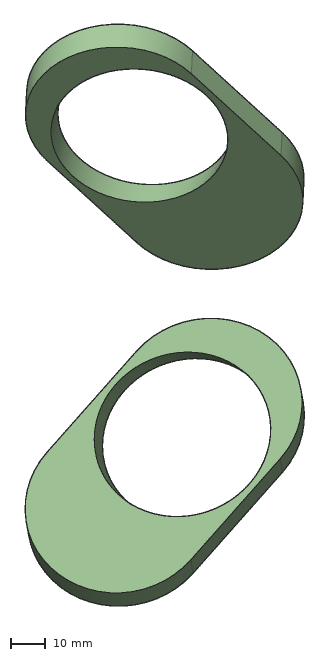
import cadquery as cq
import math

thickness = 10.0
end_radius = 27.0
center_distance = 40.0
hole_diameter = 50.0
hole_offset = 10.2
plate_turn = 40
long_axis_drop = 50
hole_tilt = 15

turn = math.radians(plate_turn)
across = cq.Vector(math.cos(turn), math.sin(turn), 0)
front_normal = cq.Vector(math.sin(turn), -math.cos(turn), 0)
drop = math.radians(long_axis_drop)
downhill = across * math.cos(drop) - cq.Vector(0, 0, math.sin(drop))

plate_plane = cq.Plane(origin=(0, 0, 0), xDir=across, normal=front_normal)
plate = (
    cq.Workplane(plate_plane)
    .slot2D(center_distance + 2 * end_radius, 2 * end_radius, -long_axis_drop)
    .extrude(thickness / 2, both=True)
)

tilt = math.radians(hole_tilt)
hole_axis = downhill * math.sin(tilt) - front_normal * math.cos(tilt)
hole_center = downhill * (hole_offset - center_distance / 2)
cutter_half_length = hole_diameter / 2 + thickness
cutter = cq.Solid.makeCylinder(
    hole_diameter / 2,
    2 * cutter_half_length,
    hole_center - hole_axis * cutter_half_length,
    hole_axis,
)

result = plate.cut(cq.Workplane(obj=cutter))